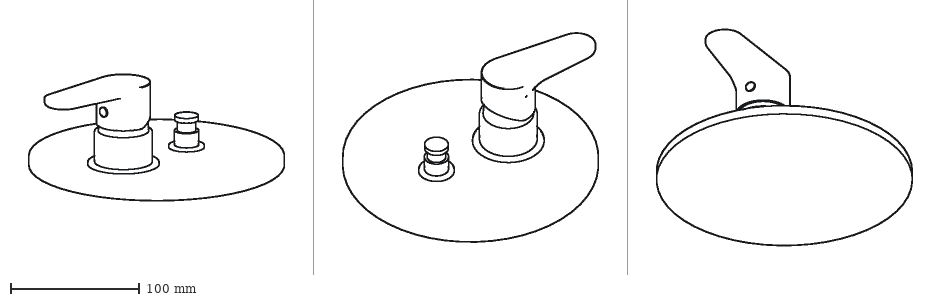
import cadquery as cq
import math

plate_diameter = 200.0
plate_radius = plate_diameter / 2
plate_thickness = 8.0
plate_fillet = 0.9

flange_thickness = 2.0
flange_fillet = 0.9
flange_top = plate_thickness + flange_thickness

overall_length = 215.2
overall_height = 74.9
mixer_y = -35.7
body_radius = 21.0
tip_radius = 15.0
tip_y = plate_radius - overall_length + tip_radius
tip_distance = mixer_y - tip_y
lever_thickness = 6.2
lever_bottom = overall_height - lever_thickness
lever_bottom_fillet = 3.2
handle_top_fillet = 0.5
flare_radius = 5.5
body_front_bottom = 40.9
body_back_bottom = 50.0

plug_z = 54.5
plug_radius = 3.9
plug_rim_projection = 0.9
plug_projection = 2.0

mixer_flange_radius = 28.0
sleeve_radius = 22.5
sleeve_top = 35.0
sleeve_fillet = 0.9
neck_bottom_radius = 19.8
neck_rim_radius = 19.4
neck_rim_z = 39.5
neck_mid_radius = 18.0
neck_mid_z = 44.5
neck_top_radius = 15.5
neck_top_z = 50.0

diverter_y = 32.3
diverter_flange_radius = 14.0
diverter_collar_radius = 9.5
diverter_collar_top = 21.5
diverter_stem_radius = 7.3
diverter_head_radius = 9.3
diverter_head_bottom = 30.0
diverter_rim_top = 33.8
diverter_dome_height = 0.2


def disc(radius, bottom, top, y=0.0):
    """Upright cylinder centred on x = 0 at the given y."""
    return cq.Workplane("XY", origin=(0, y, bottom)).circle(radius).extrude(top - bottom)


def turned(profile, y):
    """Revolve an (r, z) profile about the upright axis at the given y."""
    return profile.close().revolve(360, (0, 0, 0), (0, 1, 0)).translate((0, y, 0))


def make_mixer_base():
    """Flange, sleeve and the neck below the handle."""
    flange = disc(mixer_flange_radius, plate_thickness, flange_top, mixer_y)
    flange = flange.faces(">Z").edges().fillet(flange_fillet)
    sleeve = disc(sleeve_radius, plate_thickness, sleeve_top, mixer_y)
    sleeve = sleeve.faces(">Z").edges().fillet(sleeve_fillet)
    neck_profile = (
        cq.Workplane("XZ")
        .moveTo(0, plate_thickness)
        .lineTo(neck_bottom_radius, plate_thickness)
        .lineTo(neck_bottom_radius, sleeve_top)
        .lineTo(neck_rim_radius, neck_rim_z)
        .threePointArc((neck_mid_radius, neck_mid_z), (neck_top_radius, neck_top_z))
        .lineTo(0, neck_top_z)
    )
    return flange.union(sleeve).union(turned(neck_profile, mixer_y))


def make_diverter():
    """Flange, collar, stem and gently domed head of the diverter button."""
    flange = disc(diverter_flange_radius, plate_thickness, flange_top, diverter_y)
    flange = flange.faces(">Z").edges().fillet(flange_fillet)
    dome_rise = diverter_dome_height
    dome_radius = (diverter_head_radius ** 2 + dome_rise ** 2) / (2 * dome_rise)
    button_profile = (
        cq.Workplane("XZ")
        .moveTo(0, plate_thickness)
        .lineTo(diverter_collar_radius, plate_thickness)
        .lineTo(diverter_collar_radius, diverter_collar_top)
        .lineTo(diverter_stem_radius, diverter_collar_top)
        .lineTo(diverter_stem_radius, diverter_head_bottom)
        .lineTo(diverter_head_radius, diverter_head_bottom)
        .lineTo(diverter_head_radius, diverter_rim_top)
        .radiusArc((0, diverter_rim_top + dome_rise), -dome_radius)
    )
    return flange.union(turned(button_profile, diverter_y))


def lever_outline(bottom):
    """Solid of the tapered handle outline, from the given height up to the top."""
    taper_sine = (body_radius - tip_radius) / tip_distance
    taper_cosine = math.sqrt(1 - taper_sine ** 2)
    body_x = body_radius * taper_cosine
    body_tangent_y = mixer_y - body_radius * taper_sine
    tip_x = tip_radius * taper_cosine
    tip_tangent_y = tip_y - tip_radius * taper_sine
    return (
        cq.Workplane("XY", origin=(0, 0, bottom))
        .moveTo(body_x, body_tangent_y)
        .threePointArc((0, mixer_y + body_radius), (-body_x, body_tangent_y))
        .lineTo(-tip_x, tip_tangent_y)
        .threePointArc((0, tip_y - tip_radius), (tip_x, tip_tangent_y))
        .close()
        .extrude(overall_height - bottom)
    )


def make_flare():
    """Concave round that blends the handle body into the underside of the lever."""
    flare_bottom = lever_bottom - flare_radius
    flare_outer = body_radius + flare_radius
    arc_inset = flare_radius * (1 - math.sqrt(0.5))
    profile = (
        cq.Workplane("XZ")
        .moveTo(0, flare_bottom)
        .lineTo(body_radius, flare_bottom)
        .threePointArc(
            (body_radius + arc_inset, lever_bottom - arc_inset),
            (flare_outer, lever_bottom),
        )
        .lineTo(flare_outer, overall_height)
        .lineTo(0, overall_height)
    )
    return turned(profile, mixer_y).intersect(lever_outline(flare_bottom))


def make_plug():
    """Short round plug with a domed end on the front of the handle body."""
    surface_y = mixer_y - body_radius
    rim_y = surface_y - plug_rim_projection
    dome_rise = plug_projection - plug_rim_projection
    dome_radius = (plug_radius ** 2 + dome_rise ** 2) / (2 * dome_rise)
    return (
        cq.Workplane("XY")
        .moveTo(0, mixer_y)
        .lineTo(plug_radius, mixer_y)
        .lineTo(plug_radius, rim_y)
        .radiusArc((0, surface_y - plug_projection), dome_radius)
        .close()
        .revolve(360, (0, 0, 0), (0, 1, 0))
        .translate((0, 0, plug_z))
    )


def lever_lower_rim(handle):
    """Edges around the underside of the lever, and on along both sides of the flare."""
    flare_outer_y = mixer_y - body_radius - flare_radius
    tolerance = 0.02
    rim = []
    for edge in handle.edges().vals():
        center = edge.Center()
        at_underside = abs(center.z - lever_bottom) < tolerance
        beyond_flare = center.y < flare_outer_y
        is_flare_side = edge.geomType() == "BSPLINE"
        if is_flare_side or (at_underside and beyond_flare):
            rim.append(edge)
    return rim


def make_handle():
    """Round body, tapered lever and front plug in one solid."""
    body = disc(body_radius, body_front_bottom, overall_height, mixer_y)
    handle = body.union(make_flare()).union(lever_outline(lever_bottom))
    handle = handle.newObject(lever_lower_rim(handle)).fillet(lever_bottom_fillet)
    handle = handle.faces(">Z").edges().fillet(handle_top_fillet)
    back_relief = (
        cq.Workplane("YZ")
        .moveTo(mixer_y, body_front_bottom)
        .lineTo(mixer_y + body_radius, body_back_bottom)
        .lineTo(mixer_y + body_radius, body_front_bottom)
        .close()
        .extrude(body_radius, both=True)
    )
    return handle.cut(back_relief).union(make_plug())


handle = make_handle()
plate = disc(plate_radius, 0, plate_thickness)
plate = plate.faces(">Z").edges().fillet(plate_fillet)
plate_with_fittings = plate.union(make_mixer_base()).union(make_diverter()).cut(handle)

result = cq.Compound.makeCompound([plate_with_fittings.val(), handle.val()])